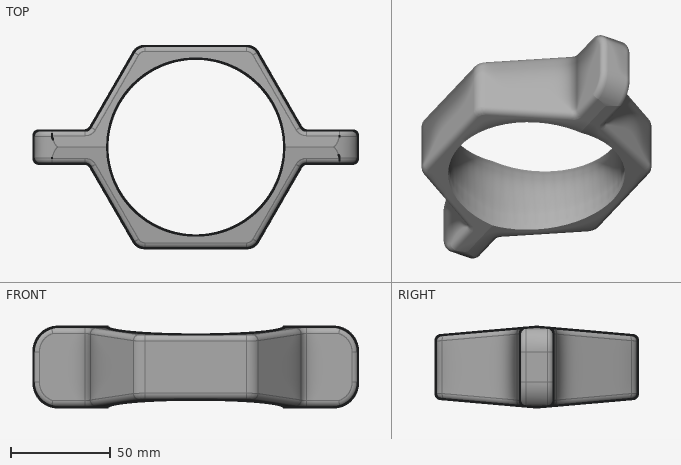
import cadquery as cq
import math

overall_length = 163.19
across_flats = 101.75
ridge_height = 40.65
bore_diameter = 88.9
grip_width = 16.85
roof_slope = 5.0
grip_end_radius = 12.7
hex_corner_radius = 6.7
grip_root_radius = 3.0
edge_radius = 3.0

hex_half_angle = math.pi / 6
half_flats = across_flats / 2
half_ridge = ridge_height / 2
half_flat_length = half_flats * math.tan(hex_half_angle)
across_corners = across_flats / math.cos(hex_half_angle)
root_x = (across_corners - grip_width * math.tan(hex_half_angle)) / 2
roof_drop = half_flats * math.tan(math.radians(roof_slope))
pick_margin = 0.1
steep_limit = 0.99


def vertical_edges_at(body, x, y):
    """Pick the vertical edges at the four mirrored positions (+-x, +-y)."""
    edges = body.edges("|Z")
    return edges.filter(
        lambda edge: abs(abs(edge.Center().x) - x) < pick_margin
        and abs(abs(edge.Center().y) - y) < pick_margin
    )


def plan_body():
    """Hexagon with a bar through it, with its plan corners rounded."""
    hexagon = cq.Workplane("XY").polygon(6, across_corners).extrude(half_ridge, both=True)
    bar = cq.Workplane("XY").box(overall_length, grip_width, ridge_height)
    body = hexagon.union(bar)
    body = vertical_edges_at(body, half_flat_length, half_flats).fillet(hex_corner_radius)
    return vertical_edges_at(body, root_x, grip_width / 2).fillet(grip_root_radius)


def roof_envelope():
    """Prism along X whose top and bottom slope down from a central ridge."""
    eave = half_ridge - roof_drop
    return (
        cq.Workplane("YZ")
        .polyline([
            (-half_flats, -eave),
            (0, -half_ridge),
            (half_flats, -eave),
            (half_flats, eave),
            (0, half_ridge),
            (-half_flats, eave),
        ])
        .close()
        .extrude(overall_length / 2, both=True)
    )


def grip_envelope():
    """Slab of grip width with large rounded ends in XZ and rounded rims all around."""
    slab = cq.Workplane("XY").box(overall_length, grip_width, ridge_height)
    slab = slab.edges("|Y").fillet(grip_end_radius)
    return slab.faces("<Y or >Y").edges().fillet(edge_radius)


def is_roof_rim(edge):
    """True for the edges where the roofs meet the outer walls of body and grips."""
    center = edge.Center()
    upright = edge.geomType() == "LINE" and abs(edge.tangentAt(0).z) > steep_limit
    on_grip_end = abs(center.x) > overall_length / 2 - pick_margin
    on_ridge = abs(center.y) < pick_margin
    return not (upright or on_grip_end or on_ridge)


def roofed_body():
    """Plan body under the sloping roofs, with its roof rims rounded."""
    body = plan_body().intersect(roof_envelope())
    return body.edges().filter(is_roof_rim).fillet(edge_radius)


def outer_envelope():
    """Grip envelope joined to a block that leaves the hexagon body untouched."""
    core = cq.Workplane("XY").box(across_corners, across_flats, ridge_height)
    return grip_envelope().union(core)


bore = cq.Workplane("XY").circle(bore_diameter / 2).extrude(half_ridge, both=True)
result = roofed_body().intersect(outer_envelope()).cut(bore)